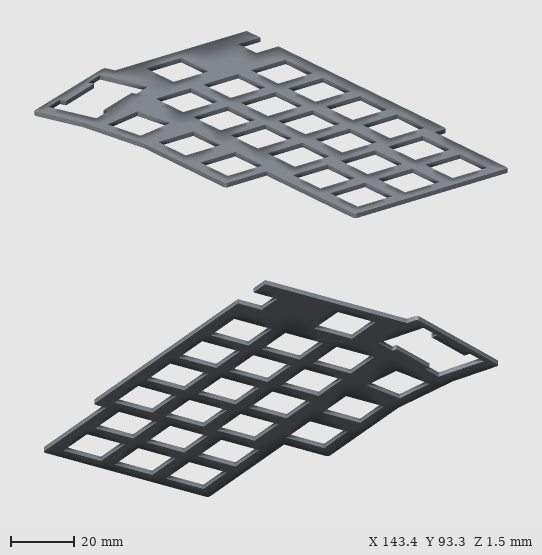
import cadquery as cq
import math

LENGTH = 143.41
WIDTH = 93.34
THICKNESS = 1.5

PITCH = 19.025
KEY = 14.0
TOP_MARGIN = 4.95
BOTTOM_MARGIN = 4.6
SIDE_MARGIN = 4.4
STAGGER = PITCH / 4
ROWS = 3
MAIN_COLUMNS = 4
SIDE_COLUMNS = 2

RIGHT = LENGTH / 2
LEFT_TIP = -LENGTH / 2
TOP = WIDTH / 2
BOTTOM_TIP = -WIDTH / 2
LEFT = -68.1
SIDE_TOP = TOP - STAGGER
STEP_X = 33.98
THUMB_RIGHT = 26.7
THUMB_BOTTOM = -36.15
CORNER_RADIUS = 1.0

NOTCH_LEFT = -61.2
NOTCH_WIDTH = 9.3
NOTCH_DEPTH = 8.82

LAST_COLUMN_X = RIGHT - SIDE_MARGIN - KEY / 2
FIRST_COLUMN_X = LAST_COLUMN_X - (MAIN_COLUMNS + SIDE_COLUMNS - 1) * PITCH
TOP_ROW_Y = TOP - TOP_MARGIN - KEY / 2
SIDE_BOTTOM = SIDE_TOP - TOP_MARGIN - (ROWS - 1) * PITCH - KEY - BOTTOM_MARGIN
LONE_KEY = (-56.3, 9.65)
THUMB_KEYS = [(-6.3, -24.7), (15.15, -24.7)]
TILTED_KEY = (-28.97, -27.17)

KEY_TILT = 10.0
CORNER_TILT = 20.0
KEY_BEND_X = -15.0
CORNER_BEND_X = -40.1

SLOT_CENTER = (-54.1, -23.55)
SLOT_WIDTH = 17.9
SLOT_LENGTH = 30.7
WAIST_WIDTH = KEY
WAIST_LENGTH = 16.75
END_SHIFT = -0.25


def rounded_corner_lean(tilt):
    """Distance a rounded square corner, turned by tilt, falls short of its sharp tip."""
    angle = math.radians(tilt)
    return CORNER_RADIUS * (math.cos(angle) + math.sin(angle) - 1)


def plate_outline():
    """Corner points of the plate, clockwise from the top left, and those to be rounded."""
    key_slope = math.tan(math.radians(KEY_TILT))
    corner_slope = math.tan(math.radians(CORNER_TILT))
    lean = rounded_corner_lean(CORNER_TILT)

    key_bend = (KEY_BEND_X, THUMB_BOTTOM)
    corner_bend = (CORNER_BEND_X, THUMB_BOTTOM - (KEY_BEND_X - CORNER_BEND_X) * key_slope)
    low_y = BOTTOM_TIP - lean
    low_x = CORNER_BEND_X - (corner_bend[1] - low_y) / corner_slope
    tip_x = LEFT_TIP - lean
    tip_y = low_y + (low_x - tip_x) / corner_slope
    shoulder_y = tip_y + (LEFT - tip_x) * corner_slope

    rounded = [
        (STEP_X, TOP),
        (RIGHT, SIDE_TOP),
        (RIGHT, SIDE_BOTTOM),
        (THUMB_RIGHT, THUMB_BOTTOM),
        (low_x, low_y),
        (tip_x, tip_y),
    ]
    points = [
        (LEFT, TOP),
        (NOTCH_LEFT, TOP),
        (NOTCH_LEFT, TOP - NOTCH_DEPTH),
        (NOTCH_LEFT + NOTCH_WIDTH, TOP - NOTCH_DEPTH),
        (NOTCH_LEFT + NOTCH_WIDTH, TOP),
        (STEP_X, TOP),
        (STEP_X, SIDE_TOP),
        (RIGHT, SIDE_TOP),
        (RIGHT, SIDE_BOTTOM),
        (THUMB_RIGHT, SIDE_BOTTOM),
        (THUMB_RIGHT, THUMB_BOTTOM),
        key_bend,
        corner_bend,
        (low_x, low_y),
        (tip_x, tip_y),
        (LEFT, shoulder_y),
    ]
    return points, rounded


def make_plate():
    points, rounded = plate_outline()
    plate = cq.Workplane("XY").polyline(points).close().extrude(THICKNESS)
    for x, y in rounded:
        edge = cq.selectors.NearestToPointSelector((x, y, THICKNESS / 2))
        plate = plate.edges("|Z").edges(edge).fillet(CORNER_RADIUS)
    return plate


def key_centres():
    """Centres of all the upright switch cutouts."""
    centres = [LONE_KEY] + THUMB_KEYS
    for column in range(MAIN_COLUMNS + SIDE_COLUMNS):
        drop = STAGGER if column >= MAIN_COLUMNS else 0
        for row in range(ROWS):
            x = FIRST_COLUMN_X + column * PITCH
            y = TOP_ROW_Y - drop - row * PITCH
            centres.append((x, y))
    return centres


def turned(cutter, centre, tilt):
    """Cutter made at the origin, turned by tilt and moved to its centre."""
    return cutter.rotate((0, 0, 0), (0, 0, 1), tilt).translate((*centre, 0))


def cut_upright_keys(plate):
    cutters = cq.Workplane("XY").pushPoints(key_centres()).rect(KEY, KEY).extrude(THICKNESS)
    return plate.cut(cutters)


def cut_tilted_key(plate):
    cutter = cq.Workplane("XY").rect(KEY, KEY).extrude(THICKNESS)
    return plate.cut(turned(cutter, TILTED_KEY, KEY_TILT))


def cut_stepped_slot(plate):
    end_length = (SLOT_LENGTH - WAIST_LENGTH) / 2
    end_offset = (SLOT_LENGTH - end_length) / 2
    slot = cq.Workplane("XY").rect(WAIST_WIDTH, SLOT_LENGTH).extrude(THICKNESS)
    end_centres = [(END_SHIFT, -end_offset), (END_SHIFT, end_offset)]
    ends = cq.Workplane("XY").pushPoints(end_centres).rect(SLOT_WIDTH, end_length).extrude(THICKNESS)
    return plate.cut(turned(slot.union(ends), SLOT_CENTER, CORNER_TILT))


result = make_plate()
result = cut_upright_keys(result)
result = cut_tilted_key(result)
result = cut_stepped_slot(result)